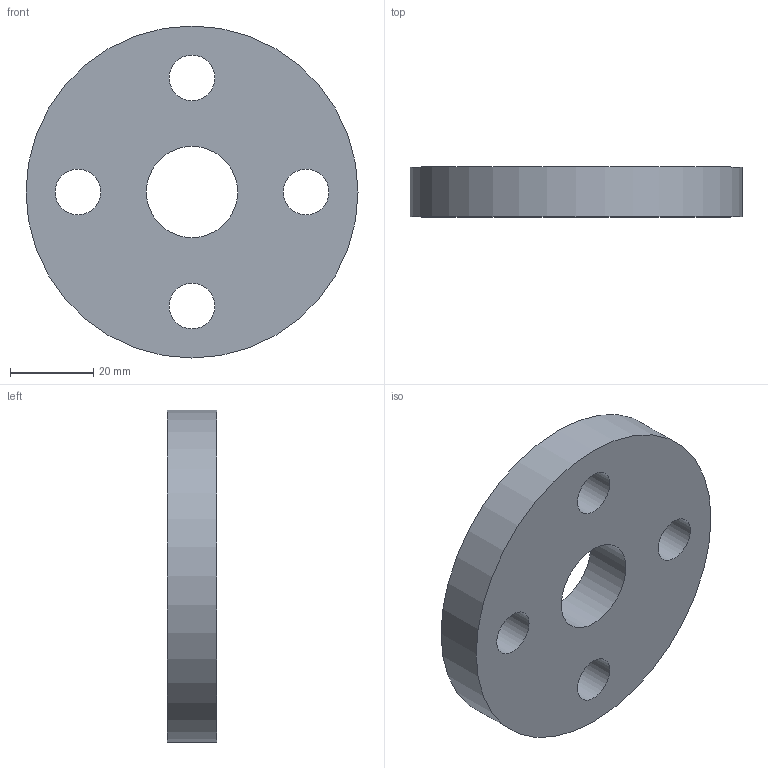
import cadquery as cq

flange_diameter = 80.0
flange_thickness = 12.0
bore_diameter = 22.0
bolt_hole_diameter = 11.0
bolt_circle_diameter = 55.0
bolt_hole_count = 4


def make_disc():
    """Flat round disc with its axis along Y and its back face on the XZ plane."""
    return cq.Workplane("XZ").circle(flange_diameter / 2).extrude(flange_thickness)


def cut_bore(body):
    """Central bore through the full thickness."""
    return body.faces("<Y").workplane(origin=(0, 0, 0)).hole(bore_diameter)


def cut_bolt_holes(body):
    """Through holes evenly spaced on the bolt circle, the first one on +X."""
    return (
        body.faces("<Y")
        .workplane(origin=(0, 0, 0))
        .polarArray(bolt_circle_diameter / 2, 0, 360, bolt_hole_count)
        .hole(bolt_hole_diameter)
    )


result = cut_bolt_holes(cut_bore(make_disc()))